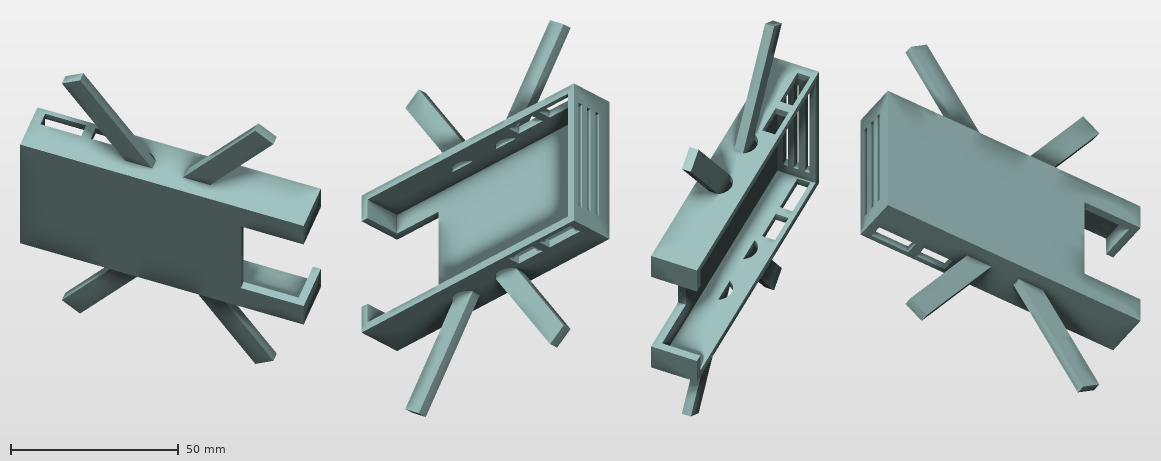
import cadquery as cq
import math

overall_height = 113.5
housing_length = 90.0
housing_depth = 15.0
housing_height = 48.0
wall = 2.5

left_face = -housing_length / 2
back_face = housing_depth / 2

notch_length = 20.0
notch_height = 30.0

windows = [(3.1, 12.9), (19.1, 10.0)]
window_width = 4.2
window_from_back = 1.5

slot_count = 3
slot_width = 1.5
slot_height = 36.1
slot_pitch = 3.5
first_slot_from_back = 2.0

arm_width = 7.0
arm_thickness = 3.0
arm_angle = math.radians(55)
arm_exit_offset = 9.2
arm_from_back = 7.0
arm_back_face = back_face - arm_from_back

clearance_radius = 5.0
clearance_rise = 2.5


def arm(side, end):
    """One arm: side is -1 left or 1 right, end is 1 top or -1 bottom."""
    inner_z = housing_height / 2 - wall
    half_cut = arm_width / math.sin(arm_angle) / 2
    inner_x = arm_exit_offset - wall / math.tan(arm_angle)
    half_tip_x = arm_width / 2 * math.sin(arm_angle)
    half_tip_z = arm_width / 2 * math.cos(arm_angle)
    tip_z = overall_height / 2 - half_tip_z
    tip_x = arm_exit_offset + (tip_z - housing_height / 2) / math.tan(arm_angle)
    outline = [
        (inner_x - half_cut, inner_z),
        (inner_x + half_cut, inner_z),
        (tip_x + half_tip_x, tip_z - half_tip_z),
        (tip_x - half_tip_x, tip_z + half_tip_z),
    ]
    return (
        cq.Workplane("XZ", origin=(0, arm_back_face, 0))
        .polyline([(side * x, end * z) for x, z in outline])
        .close()
        .extrude(arm_thickness)
    )


def hollow_shell():
    """Tray with a front wall and four side walls, open at the back."""
    shell = cq.Workplane("XY").box(housing_length, housing_depth, housing_height)
    cavity = cq.Workplane("XY").box(
        housing_length - 2 * wall, housing_depth, housing_height - 2 * wall
    )
    return shell.cut(cavity.translate((0, wall, 0)))


def notch():
    return (
        cq.Workplane("XY")
        .box(notch_length, housing_depth, notch_height)
        .translate(((housing_length - notch_length) / 2, 0, 0))
    )


def window(start, length):
    """Cutter for one window, through both the top and the bottom wall."""
    return (
        cq.Workplane("XY")
        .box(length, window_width, housing_height)
        .translate((left_face + start + length / 2, back_face - window_from_back - window_width / 2, 0))
    )


def slot(index):
    slot_y = back_face - first_slot_from_back - slot_width / 2 - index * slot_pitch
    return cq.Workplane("XY").box(wall, slot_width, slot_height).translate(
        (left_face + wall / 2, slot_y, 0)
    )


def clearance(side):
    """Cutter for the arc-shaped openings on one side, through the top and bottom walls."""
    half_chord = math.sqrt(clearance_rise * (2 * clearance_radius - clearance_rise))
    return (
        cq.Workplane("XY", origin=(side * arm_exit_offset, arm_back_face, -housing_height / 2))
        .moveTo(-half_chord, 0)
        .threePointArc((0, clearance_rise), (half_chord, 0))
        .close()
        .extrude(housing_height)
    )


arms = [arm(side, end) for side in (-1, 1) for end in (-1, 1)]

housing = hollow_shell().cut(notch())
for window_start, window_length in windows:
    housing = housing.cut(window(window_start, window_length))
for slot_index in range(slot_count):
    housing = housing.cut(slot(slot_index))
for clearance_side in (-1, 1):
    housing = housing.cut(clearance(clearance_side))
for one_arm in arms:
    housing = housing.cut(one_arm)

result = cq.Compound.makeCompound([housing.val(), *[one_arm.val() for one_arm in arms]])